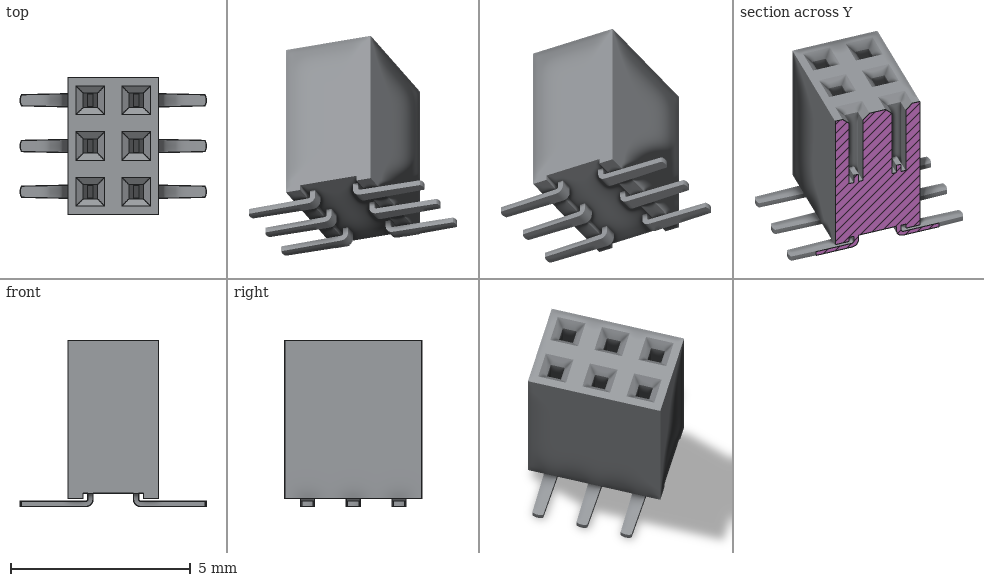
import cadquery as cq

ROWS = 3
BODY_LENGTH = 3.81
PITCH = BODY_LENGTH / ROWS
COLUMN_X = PITCH / 2
BODY_WIDTH = 2.525

SPAN = 5.18
TOTAL_HEIGHT = 4.62

STANDOFF = 0.225
CHANNEL_WIDTH = 1.68
CHANNEL_DEPTH = 0.145
CHANNEL_TOP = STANDOFF + CHANNEL_DEPTH

MOUTH_SIZE = 0.8
BORE_SIZE = 0.4
FUNNEL_DEPTH = 0.195
SOCKET_DEPTH = 2.33
SOCKET_FLOOR = TOTAL_HEIGHT - SOCKET_DEPTH

PIN_WIDTH = 0.35
PIN_HEIGHT = 0.26

LEAD_THICKNESS = 0.15
LEAD_WIDTH = 0.395
TIP_WIDTH = 0.315
TIP_BULGE = 0.04
BEND_INNER_RADIUS = 0.055
BEND_OUTER_RADIUS = BEND_INNER_RADIUS + LEAD_THICKNESS
LEG_OUTER_X = COLUMN_X + LEAD_THICKNESS / 2
BEND_CENTER_X = LEG_OUTER_X + BEND_INNER_RADIUS
LEG_EMBED = 0.05

ROW_POSITIONS = [(row - (ROWS - 1) / 2) * PITCH for row in range(ROWS)]


def make_housing():
    """Rectangular block with a channel along Y in its underside."""
    block = cq.Workplane("XY").workplane(offset=STANDOFF).rect(BODY_WIDTH, BODY_LENGTH)
    block = block.extrude(TOTAL_HEIGHT - STANDOFF)
    channel = cq.Workplane("XY").rect(CHANNEL_WIDTH, BODY_LENGTH).extrude(CHANNEL_TOP)
    return block.cut(channel)


def make_socket():
    """Void of one socket: a square funnel leading into a square bore around a pin."""
    bore = cq.Workplane("XY").workplane(offset=SOCKET_FLOOR).rect(BORE_SIZE, BORE_SIZE)
    bore = bore.extrude(SOCKET_DEPTH)
    funnel = (
        cq.Workplane("XY").workplane(offset=TOTAL_HEIGHT).rect(MOUTH_SIZE, MOUTH_SIZE)
        .workplane(offset=-FUNNEL_DEPTH).rect(BORE_SIZE, BORE_SIZE)
        .loft(ruled=True)
    )
    pin = cq.Workplane("XY").workplane(offset=SOCKET_FLOOR).rect(LEAD_THICKNESS, PIN_WIDTH)
    pin = pin.extrude(PIN_HEIGHT)
    return bore.union(funnel).cut(pin)


def make_lead():
    """One lead pointing along +X: leg, quarter bend and tapered foot with a rounded tip."""
    leg_top = CHANNEL_TOP + LEG_EMBED
    leg = (
        cq.Workplane("XZ").moveTo(LEG_OUTER_X, leg_top)
        .lineTo(LEG_OUTER_X, BEND_OUTER_RADIUS)
        .radiusArc((BEND_CENTER_X, LEAD_THICKNESS), -BEND_INNER_RADIUS)
        .lineTo(BEND_CENTER_X, 0)
        .radiusArc((LEG_OUTER_X - LEAD_THICKNESS, BEND_OUTER_RADIUS), BEND_OUTER_RADIUS)
        .lineTo(LEG_OUTER_X - LEAD_THICKNESS, leg_top)
        .close()
        .extrude(LEAD_WIDTH / 2, both=True)
    )
    tip_x = SPAN / 2
    shoulder_x = tip_x - TIP_BULGE
    foot = (
        cq.Workplane("XY").moveTo(BEND_CENTER_X, -LEAD_WIDTH / 2)
        .lineTo(shoulder_x, -TIP_WIDTH / 2)
        .threePointArc((tip_x, 0), (shoulder_x, TIP_WIDTH / 2))
        .lineTo(BEND_CENTER_X, LEAD_WIDTH / 2)
        .close()
        .extrude(LEAD_THICKNESS)
    )
    return leg.union(foot)


result = make_housing()
socket = make_socket()
right_lead = make_lead()
left_lead = right_lead.mirror("YZ")

for row_y in ROW_POSITIONS:
    for column_x in (-COLUMN_X, COLUMN_X):
        result = result.cut(socket.translate((column_x, row_y, 0)))
    for lead in (left_lead, right_lead):
        result = result.union(lead.translate((0, row_y, 0)))